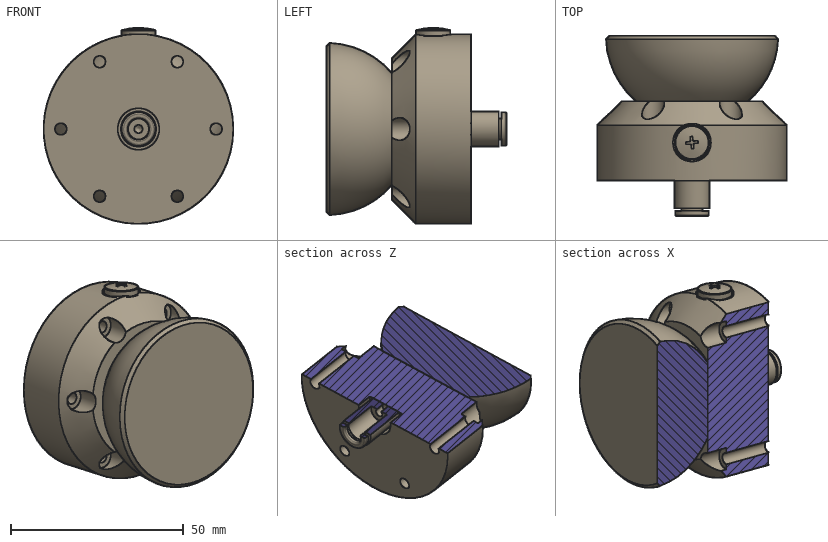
import cadquery as cq
import math


BASE_RADIUS = 27.5
BASE_LENGTH = 23.0
SHOULDER_BEVEL = 7.0
SHOULDER_Y = BASE_LENGTH - SHOULDER_BEVEL

MOUNT_COUNT = 6
MOUNT_CIRCLE_RADIUS = 22.5
MOUNT_HOLE_RADIUS = 1.7
MOUNT_HEAD_RADIUS = 3.25

KNOB_RADIUS = 25.0
KNOB_END_Y = 42.0
KNOB_BEVEL = 1.0

FITTING_TIP_Y = -10.3
FITTING_SEAT_Y = 5.0
FITTING_HOLE_RADIUS = 6.0
SLEEVE_RADIUS = 5.1
SLEEVE_END_Y = -8.0
NECK_RADIUS = 3.1
COLLAR_RADIUS = 4.9
COLLAR_LENGTH = 1.55
MOUTH_ROUND = 0.5
TUBE_RADIUS = 3.0
TUBE_FLOOR_Y = 2.0
AIR_RADIUS = 1.2
AIR_TIP_HALF_ANGLE = math.radians(59)
AIR_TIP_LENGTH = AIR_RADIUS / math.tan(AIR_TIP_HALF_ANGLE)

SCREW_Y = 11.0
SCREW_RADIUS = 5.0
SCREW_TOP_Z = 29.3
SCREW_SEAT_Z = 26.8
SCREW_DOME_RISE = 0.6
SCREW_RIM_BEVEL = 0.2
SCREW_POCKET_RADIUS = 5.5
CROSS_SPAN = 3.5
CROSS_WIDTH = 0.7
CROSS_CORNER_RADIUS = 0.4
CROSS_DEPTH = 1.0
CROSS_TURN = 7


def revolve_about_y(profile):
    return profile.close().revolve(360, (0, 0, 0), (0, 1, 0))


def rod_along_y(radius, start_y, end_y, x=0, z=0):
    rod = cq.Solid.makeCylinder(radius, end_y - start_y, cq.Vector(x, start_y, z), cq.Vector(0, 1, 0))
    return cq.Workplane(obj=rod)


def make_base():
    base = revolve_about_y(
        cq.Workplane("XY")
        .lineTo(BASE_RADIUS, 0)
        .lineTo(BASE_RADIUS, SHOULDER_Y)
        .lineTo(BASE_RADIUS - SHOULDER_BEVEL, BASE_LENGTH)
        .lineTo(0, BASE_LENGTH)
    )

    for index in range(MOUNT_COUNT):
        angle = 2 * math.pi * index / MOUNT_COUNT
        x = MOUNT_CIRCLE_RADIUS * math.cos(angle)
        z = MOUNT_CIRCLE_RADIUS * math.sin(angle)
        base = base.cut(rod_along_y(MOUNT_HOLE_RADIUS, 0, BASE_LENGTH, x, z))
        base = base.cut(rod_along_y(MOUNT_HEAD_RADIUS, SHOULDER_Y, BASE_LENGTH, x, z))

    base = base.cut(rod_along_y(FITTING_HOLE_RADIUS, 0, FITTING_SEAT_Y))
    dimple = revolve_about_y(
        cq.Workplane("XY")
        .moveTo(0, FITTING_SEAT_Y)
        .lineTo(AIR_RADIUS, FITTING_SEAT_Y)
        .lineTo(0, FITTING_SEAT_Y + AIR_TIP_LENGTH)
    )
    base = base.cut(dimple)

    pocket = (
        cq.Workplane("XY", origin=(0, SCREW_Y, SCREW_SEAT_Z))
        .circle(SCREW_POCKET_RADIUS)
        .extrude(SCREW_TOP_Z - SCREW_SEAT_Z)
    )
    return base.cut(pocket)


def make_knob():
    def sphere_radius_at(y):
        return math.sqrt(KNOB_RADIUS ** 2 - (KNOB_END_Y - y) ** 2)

    rim_y = KNOB_END_Y - KNOB_BEVEL
    middle_y = (BASE_LENGTH + rim_y) / 2
    return revolve_about_y(
        cq.Workplane("XY")
        .moveTo(0, BASE_LENGTH)
        .lineTo(sphere_radius_at(BASE_LENGTH), BASE_LENGTH)
        .threePointArc((sphere_radius_at(middle_y), middle_y), (sphere_radius_at(rim_y), rim_y))
        .lineTo(KNOB_RADIUS - KNOB_BEVEL, KNOB_END_Y)
        .lineTo(0, KNOB_END_Y)
    )


def make_fitting():
    collar_y = FITTING_TIP_Y + COLLAR_LENGTH
    sleeve = rod_along_y(SLEEVE_RADIUS, SLEEVE_END_Y, FITTING_SEAT_Y)
    neck = rod_along_y(NECK_RADIUS, collar_y, SLEEVE_END_Y)
    collar = rod_along_y(COLLAR_RADIUS, FITTING_TIP_Y, collar_y)
    bore = revolve_about_y(
        cq.Workplane("XY")
        .moveTo(0, FITTING_TIP_Y)
        .lineTo(TUBE_RADIUS, FITTING_TIP_Y)
        .lineTo(TUBE_RADIUS, TUBE_FLOOR_Y)
        .lineTo(AIR_RADIUS, TUBE_FLOOR_Y)
        .lineTo(AIR_RADIUS, FITTING_SEAT_Y)
        .lineTo(0, FITTING_SEAT_Y)
    )
    fitting = sleeve.union(neck).union(collar).cut(bore)
    return fitting.faces("<Y").edges().fillet(MOUTH_ROUND)


def make_screw():
    dome_z = SCREW_TOP_Z - SCREW_DOME_RISE
    dome_edge = SCREW_RADIUS - SCREW_RIM_BEVEL
    dome_radius = (dome_edge ** 2 + SCREW_DOME_RISE ** 2) / (2 * SCREW_DOME_RISE)
    middle_x = dome_edge / 2
    middle_z = SCREW_TOP_Z - dome_radius + math.sqrt(dome_radius ** 2 - middle_x ** 2)
    head = (
        cq.Workplane("XZ", origin=(0, SCREW_Y, 0))
        .moveTo(0, SCREW_SEAT_Z)
        .lineTo(SCREW_RADIUS, SCREW_SEAT_Z)
        .lineTo(SCREW_RADIUS, dome_z - SCREW_RIM_BEVEL)
        .lineTo(dome_edge, dome_z)
        .threePointArc((middle_x, middle_z), (0, SCREW_TOP_Z))
        .close()
        .revolve(360, (0, 0, 0), (0, 1, 0))
    )

    floor = cq.Workplane("XY", origin=(0, SCREW_Y, SCREW_TOP_Z - CROSS_DEPTH))
    cross = (
        floor.rect(CROSS_SPAN, CROSS_WIDTH).extrude(CROSS_DEPTH)
        .union(floor.rect(CROSS_WIDTH, CROSS_SPAN).extrude(CROSS_DEPTH))
    )
    inner_corners = cq.selectors.BoxSelector(
        (-CROSS_WIDTH, SCREW_Y - CROSS_WIDTH, SCREW_SEAT_Z),
        (CROSS_WIDTH, SCREW_Y + CROSS_WIDTH, SCREW_TOP_Z),
    )
    cross = cross.edges("|Z").edges(inner_corners).fillet(CROSS_CORNER_RADIUS)
    cross = cross.rotate((0, SCREW_Y, 0), (0, SCREW_Y, 1), CROSS_TURN)
    return head.cut(cross)


base = make_base()
knob = make_knob()
fitting = make_fitting()
screw = make_screw()

result = cq.Compound.makeCompound([base.val(), knob.val(), fitting.val(), screw.val()])